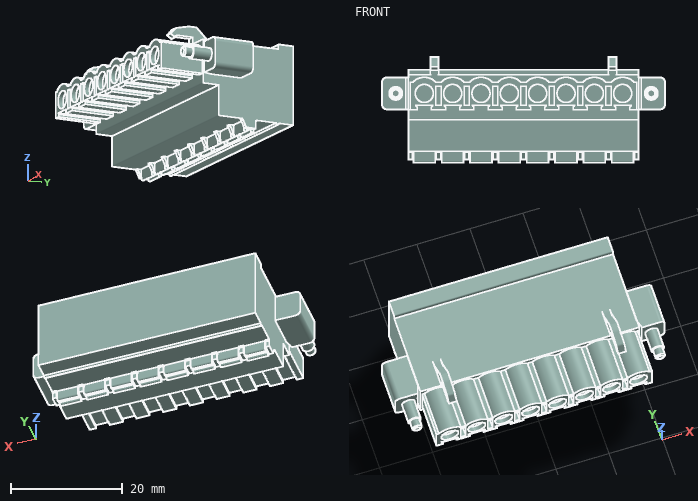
import cadquery as cq

POLES = 8
PITCH = 5.1
TOTAL_WIDTH = 50.8
POLE_XS = [(i - (POLES - 1) / 2) * PITCH for i in range(POLES)]
GAP_XS = [i * PITCH - (POLES / 2) * PITCH for i in range(1, POLES)]

BODY_WIDTH = 41.25
BODY_DEPTH = 18.3
DECK_HEIGHT = 13.7
RIDGE_HEIGHT = 14.65
RIDGE_DEPTH = 3.1
RIDGE_ROUND = 0.25
STEP_HEIGHT = 5.65
STEP_DEPTH = 3.2
BODY_ROUND = 0.2
BEAD_FROM_BACK = 3.2
BEAD_RADIUS = 0.3

FOOT_FRONT = 8.75
FOOT_LENGTH = 2.0
FOOT_BACK = FOOT_FRONT + FOOT_LENGTH
FOOT_DROP = 1.5
FOOT_SLANT = 0.6
FOOT_ROOT = 0.2
BLOCK_WIDTH = 3.95
BLOCK_SLIT = 0.125
LIP_DROP = 0.55
LIP_THICKNESS = 0.6

AXIS_HEIGHT = 10.35
SOCKET_LENGTH = 8.35
SOCKET_WIDTH = POLES * PITCH
SOCKET_BOTTOM = 7.45
SOCKET_SHOULDER = 12.35
SOCKET_TOP = 13.25
LOBE_WIDTH = 4.15
HOLE_RADIUS = 1.65
HOLE_DEPTH = 1.0
SLOT_WIDTH = 0.9
SLOT_TOP = 11.65
NOTCH_HEIGHT = 0.75
NOTCH_MOUTH_HEIGHT = 0.45
NOTCH_MOUTH_WIDTH = 2.55
NOTCH_FLOOR_WIDTH = 3.1

FLANGE_DEPTH = 7.65
FLANGE_ROUND = 0.95
FLANGE_GAP_WIDTH = 0.5
FLANGE_GAP_DEPTH = 1.65
SCREW_X = 22.9
SCREW_DIAMETER = 2.4
SCREW_LENGTH = 3.65
TIP_RADIUS = 0.9
TIP_LENGTH = 1.75
TIP_CHAMFER = 0.25

LATCH_X = 15.95
LATCH_WIDTH = 1.45
LATCH_TOP = 16.9
LATCH_UNDERSIDE = 15.0
LATCH_ROOT_START = 4.95
LATCH_ROOT_END = 3.55
LATCH_ROOT_TOP = 14.3
LATCH_CREST = 0.75
CREST_BACK_RADIUS = 0.4
CREST_FRONT_RADIUS = 2.8
BROW_RADIUS = 0.55
LATCH_BROW = (-3.45, 16.3)
LATCH_NOSE = (-4.45, 15.15)
LATCH_TOOTH = (-3.55, 14.55)
LATCH_TOOTH_BACK = -3.2


def extrude_along_x(outline, width):
    """Extrude a closed YZ outline symmetrically about X = 0."""
    return outline.extrude(width / 2, both=True)


def make_housing():
    profile = (
        cq.Workplane("YZ")
        .moveTo(STEP_DEPTH, 0)
        .lineTo(FOOT_FRONT - FOOT_SLANT - FOOT_ROOT, 0)
        .lineTo(FOOT_FRONT - FOOT_SLANT, -FOOT_ROOT)
        .lineTo(FOOT_FRONT, -FOOT_DROP)
        .lineTo(FOOT_BACK, -FOOT_DROP)
        .lineTo(FOOT_BACK, -FOOT_ROOT)
        .lineTo(FOOT_BACK + FOOT_ROOT, 0)
        .lineTo(BODY_DEPTH, 0)
        .lineTo(BODY_DEPTH, RIDGE_HEIGHT)
        .lineTo(BODY_DEPTH - RIDGE_DEPTH, RIDGE_HEIGHT)
        .lineTo(BODY_DEPTH - RIDGE_DEPTH, DECK_HEIGHT)
        .lineTo(0, DECK_HEIGHT)
        .lineTo(0, STEP_HEIGHT)
        .lineTo(STEP_DEPTH, STEP_HEIGHT)
        .close()
    )
    housing = extrude_along_x(profile, BODY_WIDTH)
    ridge_edge = cq.NearestToPointSelector((0, BODY_DEPTH - RIDGE_DEPTH, RIDGE_HEIGHT))
    step_edge = cq.NearestToPointSelector((0, 0, STEP_HEIGHT))
    bottom_edge = cq.NearestToPointSelector((0, STEP_DEPTH, 0))
    housing = housing.edges(ridge_edge).fillet(RIDGE_ROUND)
    housing = housing.edges(step_edge).fillet(BODY_ROUND)
    housing = housing.edges(bottom_edge).fillet(BODY_ROUND)
    bead = cq.Workplane("YZ").center(BODY_DEPTH - BEAD_FROM_BACK, 0).circle(BEAD_RADIUS)
    return housing.union(extrude_along_x(bead, BODY_WIDTH))


def break_foot_into_blocks(housing):
    """Open the foot rib at every pole and stand a two-lipped block in each opening."""
    lip_radius = LIP_THICKNESS / 2
    lip_bottom = -FOOT_DROP - LIP_DROP
    straight_bottom = lip_bottom + lip_radius
    front_lip_back = FOOT_FRONT + LIP_THICKNESS
    back_lip_front = FOOT_BACK - LIP_THICKNESS
    block_profile = (
        cq.Workplane("YZ")
        .moveTo(FOOT_FRONT, 0)
        .lineTo(FOOT_FRONT, straight_bottom)
        .threePointArc((FOOT_FRONT + lip_radius, lip_bottom), (front_lip_back, straight_bottom))
        .lineTo(front_lip_back, -FOOT_DROP)
        .lineTo(back_lip_front, -FOOT_DROP)
        .lineTo(back_lip_front, straight_bottom)
        .threePointArc((FOOT_BACK - lip_radius, lip_bottom), (FOOT_BACK, straight_bottom))
        .lineTo(FOOT_BACK, 0)
        .close()
    )
    block = extrude_along_x(block_profile, BLOCK_WIDTH)

    opening_length = FOOT_LENGTH + FOOT_SLANT + 2 * FOOT_ROOT
    opening = cq.Workplane("XY").box(
        BLOCK_WIDTH + 2 * BLOCK_SLIT, opening_length, FOOT_DROP, centered=(True, False, False)
    )
    opening_front = FOOT_FRONT - FOOT_SLANT - FOOT_ROOT
    for x in POLE_XS:
        housing = housing.cut(opening.translate((x, opening_front, -FOOT_DROP)))
        housing = housing.union(block.translate((x, 0, 0)))
    return housing


def make_sockets():
    half = SOCKET_WIDTH / 2
    outline = (
        cq.Workplane("XZ")
        .moveTo(half, SOCKET_SHOULDER)
        .lineTo(half, SOCKET_BOTTOM)
        .lineTo(-half, SOCKET_BOTTOM)
        .lineTo(-half, SOCKET_SHOULDER)
    )
    for x in POLE_XS:
        outline = outline.lineTo(x - LOBE_WIDTH / 2, SOCKET_SHOULDER)
        outline = outline.threePointArc((x, SOCKET_TOP), (x + LOBE_WIDTH / 2, SOCKET_SHOULDER))
    sockets = outline.close().extrude(SOCKET_LENGTH)

    front = cq.Workplane("XZ", origin=(0, -SOCKET_LENGTH, 0))
    holes = front.pushPoints([(x, AXIS_HEIGHT) for x in POLE_XS]).circle(HOLE_RADIUS)
    sockets = sockets.cut(holes.extrude(-HOLE_DEPTH))

    slot_bottom = SOCKET_BOTTOM + NOTCH_HEIGHT
    slot_height = SLOT_TOP - slot_bottom
    slot_middle = (SLOT_TOP + slot_bottom) / 2
    slots = front.pushPoints([(x, slot_middle) for x in GAP_XS]).rect(SLOT_WIDTH, slot_height)
    sockets = sockets.cut(slots.extrude(-SOCKET_LENGTH))

    mouth_half = NOTCH_MOUTH_WIDTH / 2
    floor_half = NOTCH_FLOOR_WIDTH / 2
    mouth_top = SOCKET_BOTTOM + NOTCH_MOUTH_HEIGHT
    notch = (
        cq.Workplane("XZ")
        .moveTo(-mouth_half, SOCKET_BOTTOM)
        .lineTo(-mouth_half, mouth_top)
        .lineTo(-floor_half, slot_bottom)
        .lineTo(floor_half, slot_bottom)
        .lineTo(mouth_half, mouth_top)
        .lineTo(mouth_half, SOCKET_BOTTOM)
        .close()
        .extrude(SOCKET_LENGTH)
    )
    for x in POLE_XS:
        sockets = sockets.cut(notch.translate((x, 0, 0)))
    return sockets


def make_right_flange():
    inner_x = BODY_WIDTH / 2
    flange = cq.Workplane("XY").box(
        TOTAL_WIDTH / 2 - inner_x, FLANGE_DEPTH, SOCKET_TOP - SOCKET_BOTTOM, centered=False
    )
    flange = flange.translate((inner_x, 0, SOCKET_BOTTOM))
    flange = flange.edges("|Y and >X").fillet(FLANGE_ROUND)
    relief = (
        cq.Workplane("XY", origin=(inner_x, 0, SOCKET_BOTTOM))
        .polyline([(0, 0), (FLANGE_GAP_WIDTH, 0), (0, FLANGE_GAP_DEPTH)])
        .close()
        .extrude(SOCKET_TOP - SOCKET_BOTTOM)
    )
    shank = cq.Workplane("XZ").center(SCREW_X, AXIS_HEIGHT).circle(SCREW_DIAMETER / 2)
    tip = (
        cq.Workplane("XZ", origin=(SCREW_X, -SCREW_LENGTH, AXIS_HEIGHT))
        .circle(TIP_RADIUS)
        .extrude(TIP_LENGTH)
        .faces("<Y")
        .chamfer(TIP_CHAMFER)
    )
    return flange.cut(relief).union(shank.extrude(SCREW_LENGTH)).union(tip)


def make_latch(x_center):
    profile = (
        cq.Workplane("YZ")
        .moveTo(0, DECK_HEIGHT)
        .lineTo(0, LATCH_UNDERSIDE)
        .lineTo(LATCH_TOOTH_BACK, LATCH_UNDERSIDE)
        .lineTo(*LATCH_TOOTH)
        .lineTo(*LATCH_NOSE)
        .lineTo(*LATCH_BROW)
        .lineTo(-LATCH_CREST, LATCH_TOP)
        .lineTo(LATCH_CREST, LATCH_TOP)
        .lineTo(LATCH_ROOT_END, LATCH_ROOT_TOP)
        .tangentArcPoint((LATCH_ROOT_START, DECK_HEIGHT), relative=False)
        .close()
    )
    latch = extrude_along_x(profile, LATCH_WIDTH)
    rounded_corners = [
        (LATCH_CREST, LATCH_TOP, CREST_BACK_RADIUS),
        (-LATCH_CREST, LATCH_TOP, CREST_FRONT_RADIUS),
        (*LATCH_BROW, BROW_RADIUS),
    ]
    for y, z, radius in rounded_corners:
        latch = latch.edges(cq.NearestToPointSelector((0, y, z))).fillet(radius)
    return latch.translate((x_center, 0, 0))


right_flange = make_right_flange()
result = (
    break_foot_into_blocks(make_housing())
    .union(make_sockets())
    .union(right_flange)
    .union(right_flange.mirror("YZ"))
    .union(make_latch(-LATCH_X))
    .union(make_latch(LATCH_X))
)